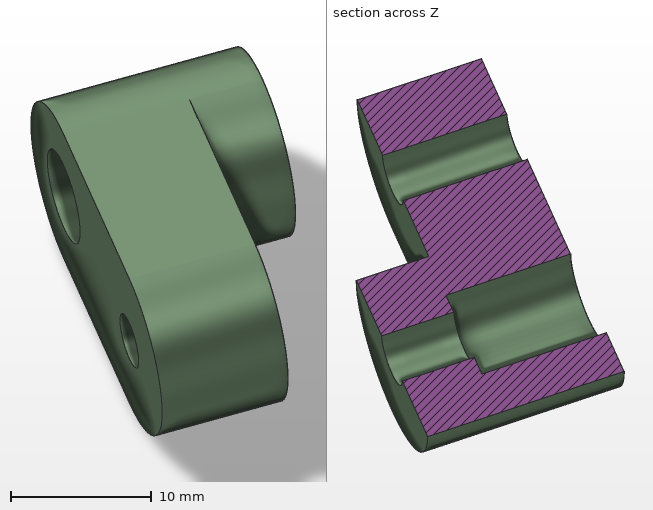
import cadquery as cq

overall_length = 28.0
end_diameter = 14.0
plate_thickness = 9.5
boss_length = 15.0
hole_diameter = 4.0
counterbore_diameter = 7.0
counterbore_depth = plate_thickness

hole_offset = (overall_length - end_diameter) / 2


def cylinder_along_y(x, diameter, length):
    """Cylinder from the front face (y = 0) towards +Y, centred at height z = 0."""
    return cq.Workplane("XZ").center(x, 0).circle(diameter / 2).extrude(-length)


body = cq.Workplane("XZ").slot2D(overall_length, end_diameter).extrude(-boss_length)

step_depth = boss_length - plate_thickness
relief = (
    cq.Workplane("XY")
    .box(overall_length, step_depth, overall_length, centered=(False, False, True))
    .translate((-hole_offset, plate_thickness, 0))
    .cut(cylinder_along_y(-hole_offset, end_diameter, boss_length))
)
body = body.cut(relief)

for hole_x in (-hole_offset, hole_offset):
    body = body.cut(cylinder_along_y(hole_x, hole_diameter, boss_length))

result = body.cut(cylinder_along_y(-hole_offset, counterbore_diameter, counterbore_depth))